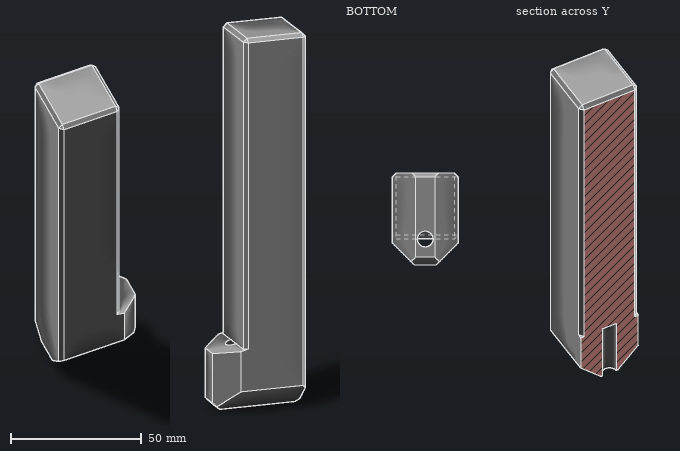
import cadquery as cq
import math

shank_side = 25.4
total_height = 150.0
total_depth = 35.4
edge_chamfer = 1.5
head_chamfer = 8.5
bottom_chamfer = 9.0
toe_chamfer = 3.0
head_top_height = 25.5
head_slope = 15.0
hole_diameter = 6.0

half_side = shank_side / 2
front_y = -half_side
shank_back_y = half_side
head_back_y = front_y + total_depth
fall_per_mm = math.tan(math.radians(head_slope))
head_peak = head_top_height + edge_chamfer * fall_per_mm


def head_top_at(y):
    """Height of the sloping head top at a given Y."""
    return head_top_height - (y - shank_back_y) * fall_per_mm


def make_shank():
    """Square bar with bevelled upright and top edges, meeting in triangular corner facets."""
    blank = cq.Workplane("XY").box(shank_side, shank_side, total_height, centered=(True, True, False))
    return blank.edges("|Z or >Z").chamfer(edge_chamfer)


def make_head_plan():
    """Upright block over the full depth, with bevelled front and back corners."""
    blank = cq.Workplane("XY").box(shank_side, total_depth, head_peak, centered=(True, False, False))
    blank = blank.translate((0, front_y, 0))
    bevelled_front = blank.edges("|Z and <Y").chamfer(edge_chamfer)
    return bevelled_front.edges("|Z and >Y").chamfer(head_chamfer)


def make_head():
    """Foot of the bar, extended backward and capped by the sloping top."""
    inner_y = shank_back_y - edge_chamfer
    side_outline = [
        (front_y, 0),
        (head_back_y - toe_chamfer, 0),
        (head_back_y, toe_chamfer),
        (head_back_y, head_top_at(head_back_y)),
        (inner_y, head_peak),
        (front_y, head_peak),
    ]
    side_body = cq.Workplane("YZ").polyline(side_outline).close().extrude(half_side, both=True)
    return side_body.intersect(make_head_plan())


def cut_bottom_sides(body):
    """Bevel both long bottom edges at 45 degrees over the full depth."""
    for side in (-1, 1):
        wedge = (
            cq.Workplane("XZ", origin=(0, front_y, 0))
            .moveTo(side * half_side, 0)
            .lineTo(side * half_side, bottom_chamfer)
            .lineTo(side * (half_side - bottom_chamfer), 0)
            .close()
            .extrude(-total_depth)
        )
        body = body.cut(wedge)
    return body


def cut_front_foot(body):
    """Bevel the bottom edge of the front face."""
    wedge = (
        cq.Workplane("YZ")
        .moveTo(front_y, 0)
        .lineTo(front_y + edge_chamfer, 0)
        .lineTo(front_y, edge_chamfer)
        .close()
        .extrude(half_side, both=True)
    )
    return body.cut(wedge)


def cut_hole(body):
    """Vertical hole through the head, ending level with the head-shank corner."""
    hole = cq.Workplane("XY").center(0, shank_back_y).circle(hole_diameter / 2).extrude(head_top_height)
    return body.cut(hole)


result = make_shank().union(make_head())
result = cut_bottom_sides(result)
result = cut_front_foot(result)
result = cut_hole(result)